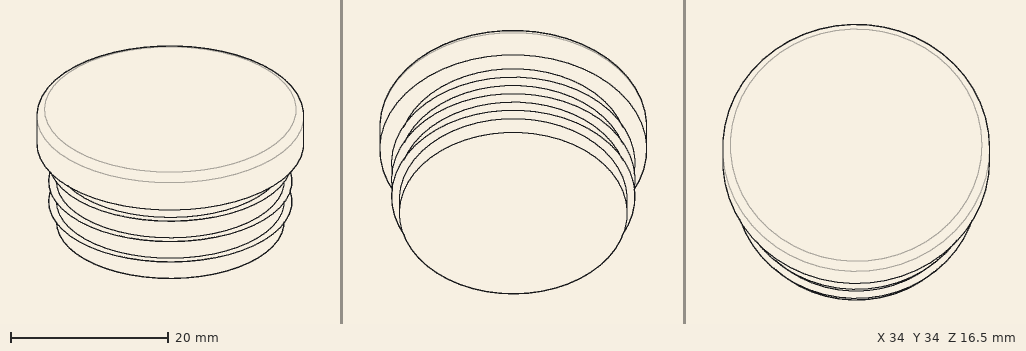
import cadquery as cq

head_diameter = 34.0
head_height = 5.0
head_fillet = 1.0
total_height = 16.5
stem_diameter = 29.0
rib_diameter = 31.0
rib_height = 0.5
rib_count = 3
rib_pitch = 3.0
first_rib_drop = 2.5

stem_height = total_height - head_height


def make_head():
    """Disc with a rounded top edge, sitting on the stem."""
    disc = cq.Workplane("XY").workplane(offset=stem_height).circle(head_diameter / 2).extrude(head_height)
    return disc.faces(">Z").edges().fillet(head_fillet)


def make_rib(top_z):
    """Sharp-edged ring, flat on top and tapering down to the stem."""
    bottom_z = top_z - rib_height
    profile = [
        (0, bottom_z),
        (stem_diameter / 2, bottom_z),
        (rib_diameter / 2, top_z),
        (0, top_z),
    ]
    return cq.Workplane("XZ").polyline(profile).close().revolve(360, (0, 0), (0, 1))


stem = cq.Workplane("XY").circle(stem_diameter / 2).extrude(stem_height)
result = stem.union(make_head())
for index in range(rib_count):
    rib_top = stem_height - first_rib_drop - index * rib_pitch
    result = result.union(make_rib(rib_top))